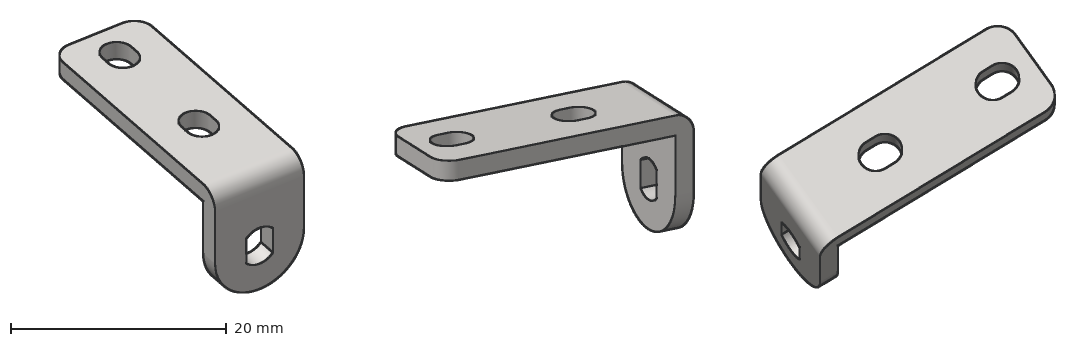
import cadquery as cq

length = 27.0
width = 10.0
height = 13.0
thickness = 2.0
bend_radius = thickness
corner_radius = 2.0

slot_length = 4.2
slot_width = 3.19
first_slot_x = 4.0
slot_spacing = 13.01

tab_radius = width / 2
tab_center_z = tab_radius - height
hole_diameter = 4.1
hole_width = 3.0


def make_plate():
    """Horizontal plate with its top face at Z = 0 and rounded free corners."""
    plate = cq.Workplane("XY").box(length, width, thickness, centered=(False, True, False))
    plate = plate.translate((0, 0, -thickness))
    return plate.edges("|Z and <X").fillet(corner_radius)


def make_tab():
    """Vertical tab at the +X end, with a full-round lower end."""
    return (
        cq.Workplane("YZ", origin=(length - thickness, 0, 0))
        .moveTo(-width / 2, 0)
        .lineTo(-width / 2, tab_center_z)
        .threePointArc((0, -height), (width / 2, tab_center_z))
        .lineTo(width / 2, 0)
        .close()
        .extrude(thickness)
    )


def make_plate_slots():
    """Cutters for the two round-ended slots."""
    centers = [(first_slot_x + i * slot_spacing, 0) for i in range(2)]
    return (
        cq.Workplane("XY")
        .pushPoints(centers)
        .slot2D(slot_length, slot_width)
        .extrude(-thickness)
    )


def make_tab_hole():
    """Cutter for the tab hole: a cylinder trimmed by two vertical flats."""
    plane = cq.Workplane("YZ", origin=(length - thickness, 0, tab_center_z))
    cylinder = plane.circle(hole_diameter / 2).extrude(thickness)
    flats = plane.rect(hole_width, hole_diameter).extrude(thickness)
    return cylinder.intersect(flats)


def make_bend_envelope():
    """Block that rounds the outer edge where plate and tab meet."""
    block = cq.Workplane("XY").box(length, width, height, centered=(False, True, False))
    block = block.translate((0, 0, -height))
    return block.edges("|Y and >X and >Z").fillet(bend_radius)


bracket = make_plate().union(make_tab()).intersect(make_bend_envelope())
result = bracket.cut(make_plate_slots()).cut(make_tab_hole())